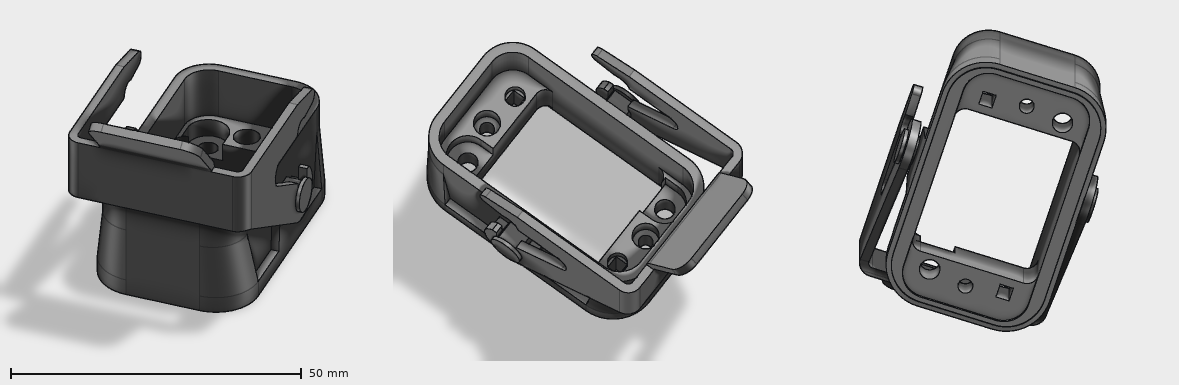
import math

import cadquery as cq

BODY_HALF_Y = 22.95
BODY_TOP = 18.85
UPPER_HALF_X = 13.1
SKIRT_HALF_X = 14.6
CORNER_CENTRE_X = 6.8
UPPER_RADIUS = UPPER_HALF_X - CORNER_CENTRE_X
SKIRT_RADIUS = SKIRT_HALF_X - CORNER_CENTRE_X
WALL = 1.8
SKIRT_TOP = 3.4
FLARE_TOP = 13.8
LIP_HEIGHT = 0.35
LIP_INSET = 0.9

FLOOR_TOP = 9.4
FLOOR_BOTTOM = 0.7
WINDOW_HALF_Y = 13.45
WINDOW_RADIUS = 2.0
CENTRE_HOLE_Y = 17.05
CENTRE_HOLE_DIAMETER = 2.55
CENTRE_BORE_DIAMETER = 4.65
CENTRE_BORE_DEPTH = 3.4
SIDE_HOLE_X = 6.8
SIDE_HOLE_Y = 16.1
SIDE_HOLE_DIAMETER = 3.5
POCKET_RADIUS = 3.75
POCKET_DEPTH = 3.4
SQUARE_HOLE = 2.4
SQUARE_BORE_DEPTH = 1.7

PIVOT_Z = 12.45
PIN_RADIUS = 2.55
PIN_FLAT_HEIGHT = 1.4
HEAD_RADIUS = 3.05
HEAD_HALF_X = 17.485
BOSS_HALF_BOTTOM = 5.3
BOSS_HALF_TOP = 4.5

SHEET = 1.6
LEVER_HALF_X = 16.8
LEVER_BACK_Y = -26.55
LEVER_TOP = 32.45
BACK_PLATE_BOTTOM = 21.0
BEND_INNER_RADIUS = 0.95
BEND_OUTER_RADIUS = BEND_INNER_RADIUS + SHEET
ARM_SLOPE = math.radians(30)
ARM_EDGE_OFFSET = 2.05
HOOK_RADIUS = 5.05
HOOK_TIP_Z = PIVOT_Z + 3.8
HOOK_SLOT_FRONT_Y = -1.8
HOOK_SLOT_REAR_Y = 2.45
JAW_Z = 25.9
JAW_BACK_Y = -12.55
JAW_RADIUS = 2.0
NOTCH_RADIUS = 2.1
NOSE_Y = 4.5
NOSE_Z = 29.8
NOSE_RADIUS = 1.45
NOSE_SLOPE = math.radians(10)
TAB_HALF_X = 10.3
TAB_LENGTH = 10.3
TAB_ANGLE = math.radians(41.2)
TAB_CORNER_RADIUS = 3.0


def rounded_block(half_x, half_y, radius, bottom, top):
    """Rectangular block with rounded vertical corners between two heights."""
    block = cq.Workplane("XY").workplane(offset=bottom).rect(2 * half_x, 2 * half_y)
    return block.extrude(top - bottom).edges("|Z").fillet(radius)


def hole(x, y, diameter, bottom, top):
    """Upright cylinder used to cut a round hole."""
    return cq.Workplane("XY", origin=(x, y, bottom)).circle(diameter / 2).extrude(top - bottom)


def through_disc(radius, half_x, z=PIVOT_Z):
    """Disc along X at y = 0, reaching half_x to each side."""
    return cq.Workplane("YZ", origin=(0, 0, z)).circle(radius).extrude(half_x, both=True)


def side_discs(radius, inner_x, outer_x):
    """Pair of discs on the pivot axis, each between the two distances from the middle."""
    return through_disc(radius, outer_x).cut(through_disc(radius, inner_x))


def corner_sector(radius, z):
    """Closed quarter circle wire for the +X +Y corner."""
    centre_y = BODY_HALF_Y - radius
    diagonal = radius * math.sqrt(0.5)
    sector = (
        cq.Workplane("XY", origin=(CORNER_CENTRE_X, centre_y, z))
        .lineTo(radius, 0)
        .threePointArc((diagonal, diagonal), (0, radius))
        .close()
    )
    return sector.val()


def corner_flare():
    """Tapered corner of the skirt, in the +X +Y quadrant."""
    lower = corner_sector(SKIRT_RADIUS, SKIRT_TOP)
    upper = corner_sector(UPPER_RADIUS, FLARE_TOP)
    return cq.Workplane(cq.Solid.makeLoft([lower, upper], True))


def make_shell():
    """Outer body, still solid inside."""
    shell = rounded_block(UPPER_HALF_X, BODY_HALF_Y, UPPER_RADIUS, LIP_HEIGHT, BODY_TOP)
    shell = shell.union(rounded_block(SKIRT_HALF_X, BODY_HALF_Y, SKIRT_RADIUS, LIP_HEIGHT, SKIRT_TOP))
    lip = rounded_block(
        SKIRT_HALF_X - LIP_INSET, BODY_HALF_Y - LIP_INSET, SKIRT_RADIUS - LIP_INSET, 0, LIP_HEIGHT
    )
    shell = shell.union(lip)
    right_rear = corner_flare()
    left_rear = right_rear.mirror("YZ")
    for flare in (right_rear, left_rear):
        shell = shell.union(flare).union(flare.mirror("XZ"))
    boss = (
        cq.Workplane("YZ")
        .polyline([
            (-BOSS_HALF_BOTTOM, SKIRT_TOP),
            (BOSS_HALF_BOTTOM, SKIRT_TOP),
            (BOSS_HALF_TOP, PIVOT_Z),
            (-BOSS_HALF_TOP, PIVOT_Z),
        ])
        .close()
        .extrude(SKIRT_HALF_X, both=True)
    )
    return shell.union(boss)


def floor_cuts_rear():
    """Holes and pocket in the +Y end of the floor."""
    cuts = hole(0, CENTRE_HOLE_Y, CENTRE_HOLE_DIAMETER, 0, FLOOR_TOP)
    cuts = cuts.union(
        hole(0, CENTRE_HOLE_Y, CENTRE_BORE_DIAMETER, FLOOR_TOP - CENTRE_BORE_DEPTH, FLOOR_TOP)
    )
    cuts = cuts.union(hole(-SIDE_HOLE_X, SIDE_HOLE_Y, SIDE_HOLE_DIAMETER, 0, FLOOR_TOP))
    pocket = (
        cq.Workplane("XY", origin=(-SIDE_HOLE_X, SIDE_HOLE_Y, FLOOR_TOP - POCKET_DEPTH))
        .moveTo(POCKET_RADIUS, 0)
        .threePointArc((0, POCKET_RADIUS), (-POCKET_RADIUS, 0))
        .lineTo(-POCKET_RADIUS, WINDOW_HALF_Y - SIDE_HOLE_Y)
        .lineTo(POCKET_RADIUS, WINDOW_HALF_Y - SIDE_HOLE_Y)
        .close()
        .extrude(POCKET_DEPTH)
    )
    square = (
        cq.Workplane("XY", origin=(SIDE_HOLE_X, SIDE_HOLE_Y, 0))
        .rect(SQUARE_HOLE, SQUARE_HOLE)
        .extrude(FLOOR_TOP)
    )
    square_bore = hole(
        SIDE_HOLE_X, SIDE_HOLE_Y, SIDE_HOLE_DIAMETER, FLOOR_TOP - SQUARE_BORE_DEPTH, FLOOR_TOP
    )
    return cuts.union(pocket).union(square).union(square_bore)


def make_body():
    """Hollow body with the floor, its window and both sets of holes."""
    inner_x = UPPER_HALF_X - WALL
    inner_y = BODY_HALF_Y - WALL
    inner_radius = UPPER_RADIUS - WALL
    body = make_shell()
    body = body.cut(rounded_block(inner_x, inner_y, inner_radius, FLOOR_TOP, BODY_TOP))
    body = body.cut(rounded_block(inner_x, inner_y, inner_radius, 0, FLOOR_BOTTOM))
    body = body.cut(rounded_block(inner_x, WINDOW_HALF_Y, WINDOW_RADIUS, 0, FLOOR_TOP))
    rear_cuts = floor_cuts_rear()
    front_cuts = rear_cuts.rotate((0, 0, 0), (0, 0, 1), 180)
    return body.cut(rear_cuts).cut(front_cuts)


def make_pins():
    """Pins with a flat on top reaching from the walls out to round heads."""
    flat_z = PIVOT_Z + PIN_FLAT_HEIGHT
    above_flat = (
        cq.Workplane("XY", origin=(0, 0, flat_z))
        .rect(2 * HEAD_HALF_X, 2 * PIN_RADIUS)
        .extrude(PIN_RADIUS)
    )
    shafts = side_discs(PIN_RADIUS, UPPER_HALF_X - WALL / 2, HEAD_HALF_X).cut(above_flat)
    heads = side_discs(HEAD_RADIUS, LEVER_HALF_X, HEAD_HALF_X)
    return shafts.union(heads)


def slope_z(y, offset):
    """Height at y of a line sloping up toward -Y, offset squarely from the pivot."""
    return PIVOT_Z - y * math.tan(ARM_SLOPE) + offset / math.cos(ARM_SLOPE)


def make_arm_profile():
    """Side outline of the lever, without the hook slot, extruded over its full width."""
    bend_y = LEVER_BACK_Y + BEND_OUTER_RADIUS
    bend_z = slope_z(bend_y, -HOOK_RADIUS)
    blend_length = (BACK_PLATE_BOTTOM - bend_z) / math.sin(ARM_SLOPE)
    blend_end_y = bend_y - blend_length * (1 + math.cos(ARM_SLOPE))
    hook_tangent = (-HOOK_RADIUS * math.sin(ARM_SLOPE), PIVOT_Z - HOOK_RADIUS * math.cos(ARM_SLOPE))
    hook_tip_y = math.sqrt(HOOK_RADIUS**2 - (HOOK_TIP_Z - PIVOT_Z) ** 2)
    nose_dy = NOSE_RADIUS * math.sin(NOSE_SLOPE)
    nose_dz = NOSE_RADIUS * math.cos(NOSE_SLOPE)
    nose_top = (NOSE_Y + nose_dy, NOSE_Z + nose_dz)
    nose_bottom = (NOSE_Y + nose_dy, NOSE_Z - nose_dz)
    ramp_end_y = nose_top[0] - (LEVER_TOP - nose_top[1]) / math.tan(NOSE_SLOPE)
    notch_roof_z = nose_bottom[1] - nose_bottom[0] * math.tan(NOSE_SLOPE)
    jaw_floor_z = slope_z(JAW_BACK_Y, ARM_EDGE_OFFSET)
    outline = (
        cq.Workplane("YZ", origin=(-LEVER_HALF_X, 0, 0))
        .moveTo(LEVER_BACK_Y, LEVER_TOP)
        .lineTo(LEVER_BACK_Y, BACK_PLATE_BOTTOM)
        .lineTo(blend_end_y, BACK_PLATE_BOTTOM)
        .tangentArcPoint((bend_y, bend_z), relative=False)
        .lineTo(*hook_tangent)
        .threePointArc((HOOK_RADIUS, PIVOT_Z), (hook_tip_y, HOOK_TIP_Z))
        .lineTo(HOOK_SLOT_FRONT_Y, HOOK_TIP_Z)
        .lineTo(HOOK_SLOT_FRONT_Y, slope_z(HOOK_SLOT_FRONT_Y, ARM_EDGE_OFFSET))
        .lineTo(JAW_BACK_Y, jaw_floor_z)
        .lineTo(JAW_BACK_Y, JAW_Z)
        .lineTo(0, JAW_Z)
        .lineTo(0, notch_roof_z)
        .lineTo(*nose_bottom)
        .threePointArc((NOSE_Y + NOSE_RADIUS, NOSE_Z), nose_top)
        .lineTo(ramp_end_y, LEVER_TOP)
        .close()
    )
    profile = outline.extrude(2 * LEVER_HALF_X)
    for corner_z in (JAW_Z, jaw_floor_z):
        nearest = cq.selectors.NearestToPointSelector((0, JAW_BACK_Y, corner_z))
        profile = profile.edges("|X").edges(nearest).fillet(JAW_RADIUS)
    return profile


def bent_block(half_x, back_y, radius):
    """Upright block with rounded back corners, running forward past the lever noses."""
    front_y = NOSE_Y + 2 * NOSE_RADIUS
    block = cq.Workplane("XY", origin=(0, (front_y + back_y) / 2, 0)).rect(2 * half_x, front_y - back_y)
    return block.extrude(LEVER_TOP).edges("|Z and <Y").fillet(radius)


def make_bent_sheet():
    """Upright U of sheet: two arms joined by the back plate through round bends."""
    outside = bent_block(LEVER_HALF_X, LEVER_BACK_Y, BEND_OUTER_RADIUS)
    inside = bent_block(LEVER_HALF_X - SHEET, LEVER_BACK_Y + SHEET, BEND_INNER_RADIUS)
    return outside.cut(inside)


def make_tab():
    """Thumb tab: a bend off the top of the back plate, then a sloping plate."""
    bend_axis_y = LEVER_BACK_Y - BEND_INNER_RADIUS
    bend = (
        cq.Workplane("XY", origin=(0, bend_axis_y, LEVER_TOP))
        .center(0, BEND_INNER_RADIUS + SHEET / 2)
        .rect(2 * TAB_HALF_X, SHEET)
        .revolve(
            math.degrees(TAB_ANGLE),
            (0, -BEND_INNER_RADIUS - SHEET / 2),
            (1, -BEND_INNER_RADIUS - SHEET / 2),
        )
    )
    along = cq.Vector(0, -math.sin(TAB_ANGLE), math.cos(TAB_ANGLE))
    across = cq.Vector(0, math.cos(TAB_ANGLE), math.sin(TAB_ANGLE))
    bend_axis = cq.Vector(0, bend_axis_y, LEVER_TOP)
    start = bend_axis + across * BEND_INNER_RADIUS
    plate_plane = cq.Plane(origin=start, xDir=(-1, 0, 0), normal=across)
    plate = (
        cq.Workplane(plate_plane)
        .center(0, TAB_LENGTH / 2)
        .rect(2 * TAB_HALF_X, TAB_LENGTH)
        .extrude(SHEET)
        .faces(cq.selectors.DirectionMinMaxSelector(along, True))
        .edges(cq.selectors.ParallelDirSelector(across))
        .fillet(TAB_CORNER_RADIUS)
    )
    return bend.union(plate)


def make_lever():
    """Whole lever with open hooks around the pins."""
    lever = make_bent_sheet().intersect(make_arm_profile())
    slot_width = HOOK_SLOT_REAR_Y - HOOK_SLOT_FRONT_Y
    slot = (
        cq.Workplane("XY", origin=(0, (HOOK_SLOT_REAR_Y + HOOK_SLOT_FRONT_Y) / 2, PIVOT_Z))
        .rect(2 * LEVER_HALF_X, slot_width)
        .extrude(HOOK_RADIUS)
    )
    pin_hole = through_disc(PIN_RADIUS, LEVER_HALF_X)
    notch = through_disc(NOTCH_RADIUS, LEVER_HALF_X, JAW_Z)
    lever = lever.cut(slot).cut(pin_hole).cut(notch)
    return lever.union(make_tab())


result = make_body().union(make_pins()).union(make_lever())